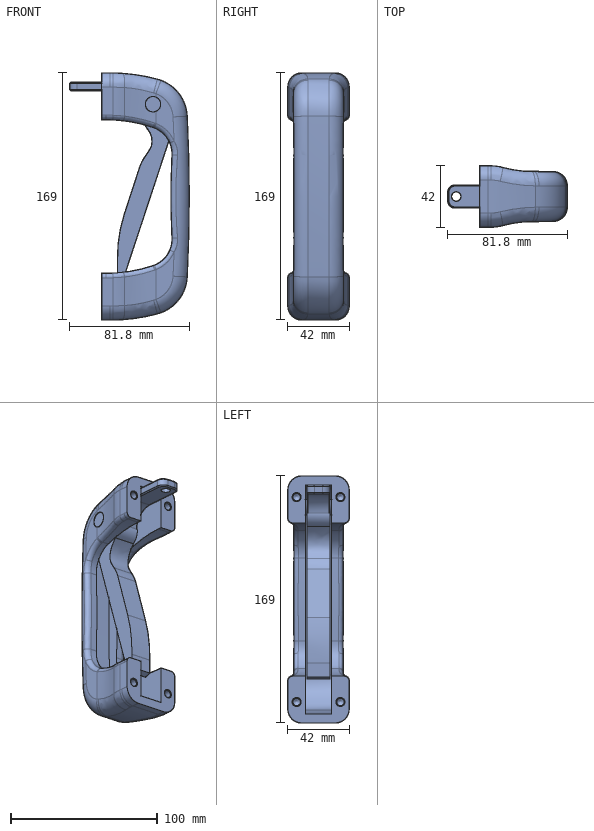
import cadquery as cq
import math

HANDLE_HEIGHT = 169.0
HANDLE_DEPTH = 60.0
FOOT_WIDTH = 42.0
GRIP_WIDTH = 34.1
FLARE_START = 7.8
FLARE_TURN = 15.7
FLARE_END = 37.2
HANDLE_FLAT = 5.7
HANDLE_ARM_RADIUS = 125.0
HANDLE_ARM_ANGLE = 15.0
HANDLE_BACK_ANGLE = 87.1
OUTER_ROUND = 9.8
INNER_ROUND = 3.2

OPENING_HEIGHT = 104.8
OPENING_DEPTH = 47.3
OPENING_FLAT = 3.0
OPENING_ARM_RADIUS = 101.4
OPENING_ARM_ANGLE = 18.5
OPENING_BACK_ANGLE = 92.8

SLOT_WIDTH = 17.9
SLOT_HEIGHT = 156.5
SLOT_DEPTH = 56.3
SLOT_FLAT = 0.2
SLOT_ARM_RADIUS = 202.8
SLOT_ARM_ANGLE = 9.5
SLOT_BACK_ANGLE = 87.0

SCREW_SPACING_Y = 29.9
SCREW_SPACING_Z = 140.0
SCREW_DIAMETER = 5.0
SCREW_MOUTH_DIAMETER = 6.0
SCREW_DEPTH = 10.1
SCREW_TIP_DEPTH = 1.5

PIVOT_X = 35.2
PIVOT_Z = 63.0
PIN_DIAMETER = 10.5
PIN_LENGTH = 34.8

LEVER_WIDTH = 15.9
TONGUE_TIP_X = -21.8
TONGUE_TOP = 78.0
TONGUE_BOTTOM = 72.2
TONGUE_TOP_END_X = 5.0
TONGUE_CORNER = 5.0
TONGUE_CHAMFER = 0.8
TONGUE_HOLE_X = -15.9
TONGUE_HOLE_DIAMETER = 6.3

THROAT_X = 10.1
NOSE_X = 24.5
NOSE_Z = 59.2
NOSE_MIDDLE = (25.4, 53.5)
NOSE_END = (28.7, 49.9)
FINGER_HOLLOW = [(34.1, 40.4), (34.0, 34.3)]
FINGER_END = (30.0, 27.9)
FINGER_START_DIRECTION = (0.8, -1.0)
FINGER_END_DIRECTION = (-0.53, -0.85)
BROW_MIDDLE = (27.9, 24.5)
BROW_END = (26.2, 20.8)
GRIP_LOW = (15.4, -12.3)
TOE_ARC_MIDDLE = (11.8, -27.5)
TOE_X = 10.8
TOE_TOP_Z = -43.3
TOE_BOTTOM_Z = -52.9
LEVER_FOOT_X = 15.5
LEVER_FOOT_Z = -54.5
LEVER_LEAN = 0.33
HEEL_START_Z = 42.2
HEEL_MIDDLE = (44.3, 63.4)
HEEL_END = (30.5, 74.4)

MARGIN = 0.2


def c_profile(height, depth, flat, arm_radius, arm_angle, back_angle):
    """Closed XZ outline of three tangent arcs per half: arm, corner and back.

    Angles are in degrees of turn from the +X direction. The corner and back radii follow
    from the height and depth; a back angle above 90 makes the back bow inward.
    """
    arm = math.radians(arm_angle)
    back = math.radians(back_angle)
    span_x = depth - flat - arm_radius * math.sin(arm)
    span_z = height / 2 - arm_radius * (1 - math.cos(arm))
    corner_x = math.sin(back) - math.sin(arm)
    corner_z = math.cos(arm) - math.cos(back)
    back_x = 1 - math.sin(back)
    back_z = math.cos(back)
    determinant = corner_x * back_z - corner_z * back_x
    corner_radius = (span_x * back_z - span_z * back_x) / determinant

    def on_arm(angle):
        return (flat + arm_radius * math.sin(angle), height / 2 - arm_radius * (1 - math.cos(angle)))

    arm_end = on_arm(arm)

    def on_corner(angle):
        return (
            arm_end[0] + corner_radius * (math.sin(angle) - math.sin(arm)),
            arm_end[1] - corner_radius * (math.cos(arm) - math.cos(angle)),
        )

    def mirrored(point):
        return (point[0], -point[1])

    corner_middle = on_corner((arm + back) / 2)
    corner_end = on_corner(back)
    return (
        cq.Workplane("XZ")
        .moveTo(0, height / 2)
        .lineTo(flat, height / 2)
        .threePointArc(on_arm(arm / 2), arm_end)
        .threePointArc(corner_middle, corner_end)
        .threePointArc((depth, 0), mirrored(corner_end))
        .threePointArc(mirrored(corner_middle), mirrored(arm_end))
        .threePointArc(mirrored(on_arm(arm / 2)), (flat, -height / 2))
        .lineTo(0, -height / 2)
        .close()
    )


def c_prism(profile, width):
    return profile.extrude(width / 2, both=True)


def flared_plan():
    """Prism in Z bounding the handle sides: wide feet drawing in by an S-curve to the grip."""
    foot = FOOT_WIDTH / 2
    grip = GRIP_WIDTH / 2
    turn = foot - (foot - grip) * (FLARE_TURN - FLARE_START) / (FLARE_END - FLARE_START)
    return (
        cq.Workplane("XY")
        .moveTo(0, -foot)
        .lineTo(FLARE_START, -foot)
        .tangentArcPoint((FLARE_TURN, -turn), relative=False)
        .tangentArcPoint((FLARE_END, -grip), relative=False)
        .lineTo(HANDLE_DEPTH, -grip)
        .lineTo(HANDLE_DEPTH, grip)
        .lineTo(FLARE_END, grip)
        .tangentArcPoint((FLARE_TURN, turn), relative=False)
        .tangentArcPoint((FLARE_START, foot), relative=False)
        .lineTo(0, foot)
        .close()
        .extrude(HANDLE_HEIGHT / 2, both=True)
    )


def screw_hole():
    """Revolved cutter along +X: countersunk mouth, bore and conical tip."""
    mouth = SCREW_MOUTH_DIAMETER / 2
    bore = SCREW_DIAMETER / 2
    return (
        cq.Workplane("XY")
        .polyline([
            (0, 0),
            (0, mouth),
            (mouth - bore, bore),
            (SCREW_DEPTH, bore),
            (SCREW_DEPTH + SCREW_TIP_DEPTH, 0),
        ])
        .close()
        .revolve(axisStart=(0, 0), axisEnd=(1, 0))
    )


def pin_cylinder():
    return (
        cq.Workplane("XZ")
        .center(PIVOT_X, PIVOT_Z)
        .circle(PIN_DIAMETER / 2)
        .extrude(PIN_LENGTH / 2, both=True)
    )



def round_rim(body, depth, height, radius):
    """Round the side rim edges within a depth and height, leaving the feet plane sharp."""
    region = cq.selectors.BoxSelector(
        (MARGIN, -FOOT_WIDTH, -height / 2 - MARGIN),
        (depth + MARGIN, FOOT_WIDTH, height / 2 + MARGIN),
    )
    return body.edges(region).edges("not(|Y or |Z)").fillet(radius)


def make_handle():
    outer = c_profile(
        HANDLE_HEIGHT, HANDLE_DEPTH, HANDLE_FLAT, HANDLE_ARM_RADIUS, HANDLE_ARM_ANGLE, HANDLE_BACK_ANGLE
    )
    opening = c_profile(
        OPENING_HEIGHT, OPENING_DEPTH, OPENING_FLAT, OPENING_ARM_RADIUS, OPENING_ARM_ANGLE, OPENING_BACK_ANGLE
    )
    slot = c_profile(
        SLOT_HEIGHT, SLOT_DEPTH, SLOT_FLAT, SLOT_ARM_RADIUS, SLOT_ARM_ANGLE, SLOT_BACK_ANGLE
    )
    body = c_prism(outer, FOOT_WIDTH).intersect(flared_plan())
    body = round_rim(body, HANDLE_DEPTH, HANDLE_HEIGHT, OUTER_ROUND)
    body = body.cut(c_prism(opening, FOOT_WIDTH))
    body = round_rim(body, OPENING_DEPTH, OPENING_HEIGHT, INNER_ROUND)
    body = body.cut(c_prism(slot, SLOT_WIDTH))
    body = body.cut(pin_cylinder())
    for y in (-SCREW_SPACING_Y / 2, SCREW_SPACING_Y / 2):
        for z in (-SCREW_SPACING_Z / 2, SCREW_SPACING_Z / 2):
            body = body.cut(screw_hole().translate((0, y, z)))
    return body


def lever_back(z):
    """Point on the straight back of the lever, which leans away from its lower end."""
    return (LEVER_FOOT_X + LEVER_LEAN * (z - LEVER_FOOT_Z), z)


def lever_blank():
    """Extruded side outline of the lever, from the tongue down the front and up the back."""
    return (
        cq.Workplane("XZ", origin=(0, LEVER_WIDTH / 2, 0))
        .moveTo(TONGUE_TIP_X, TONGUE_TOP)
        .lineTo(TONGUE_TIP_X, TONGUE_BOTTOM)
        .lineTo(THROAT_X, TONGUE_BOTTOM)
        .tangentArcPoint((NOSE_X, NOSE_Z), relative=False)
        .threePointArc(NOSE_MIDDLE, NOSE_END)
        .spline(
            [*FINGER_HOLLOW, FINGER_END],
            tangents=[FINGER_START_DIRECTION, FINGER_END_DIRECTION],
            includeCurrent=True,
        )
        .threePointArc(BROW_MIDDLE, BROW_END)
        .lineTo(*GRIP_LOW)
        .threePointArc(TOE_ARC_MIDDLE, (TOE_X, TOE_TOP_Z))
        .lineTo(TOE_X, TOE_BOTTOM_Z)
        .lineTo(LEVER_FOOT_X, LEVER_FOOT_Z)
        .lineTo(*lever_back(HEEL_START_Z))
        .threePointArc(HEEL_MIDDLE, HEEL_END)
        .lineTo(TONGUE_TOP_END_X, TONGUE_TOP)
        .close()
        .extrude(LEVER_WIDTH)
    )


def make_lever():
    body = lever_blank()
    body = body.edges("|Z and <X").fillet(TONGUE_CORNER)
    body = body.faces(">Z").edges("not >X").chamfer(TONGUE_CHAMFER)
    underside = cq.selectors.BoxSelector(
        (TONGUE_TIP_X - MARGIN, -LEVER_WIDTH, NOSE_Z + MARGIN),
        (NOSE_X - MARGIN, LEVER_WIDTH, TONGUE_BOTTOM + MARGIN),
    )
    body = body.edges(underside).edges("not |Y or <X").chamfer(TONGUE_CHAMFER)
    hole = (
        cq.Workplane("XY")
        .center(TONGUE_HOLE_X, 0)
        .circle(TONGUE_HOLE_DIAMETER / 2)
        .extrude(HANDLE_HEIGHT)
    )
    return body.cut(hole).cut(pin_cylinder())


handle = make_handle()
lever = make_lever()
pin = pin_cylinder()
result = cq.Compound.makeCompound([handle.val(), lever.val(), pin.val()])